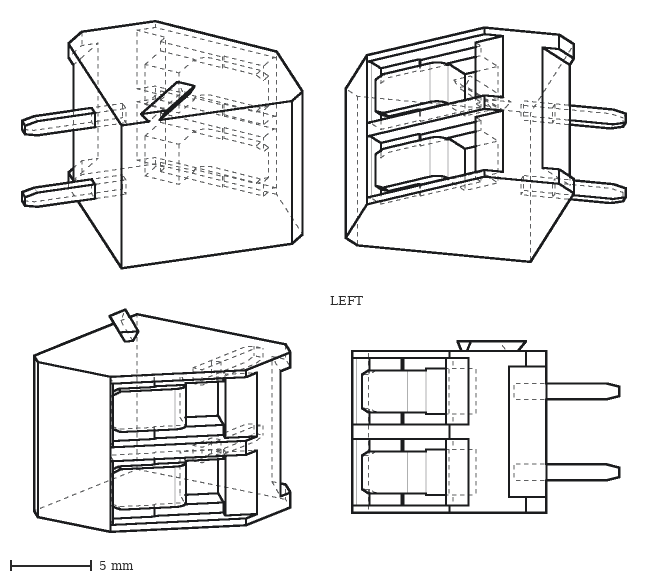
import cadquery as cq
import math


length_x = 12.5
depth_y = 12.0
pitch = 5.0
pole_count = 2
height_z = pole_count * pitch
pole_levels = [(index + 0.5) * pitch for index in range(pole_count)]
slant_leg = 6.0
front_chamfer = 1.25
back_chamfer = 1.0
recess_leg = 2.3
recess_margin = 0.97

rib_height = 0.6
rib_top_width = 1.2
rib_bottom_width = 0.5
rib_end_x = 9.52
rib_end_y = 5.08

slant_length = slant_leg * math.sqrt(2)
entry_width = 4.1
entry_lip_radius = 0.2
entry_top = slant_length - entry_lip_radius
sill_depth = 0.84
sill_end = 1.15
lower_floor_depth = 1.48
upper_floor_depth = 1.33
floor_step = 5.5
wire_hole_width = 2.8
wire_hole_top = 3.53
wire_hole_depth = 3.5

button_width = 2.6
button_face_depth = 0.68
button_nose_radius = lower_floor_depth - button_face_depth
corner_cut_along = 0.55
corner_cut_width = 0.25

pin_x = 6.5
pin_width = 0.7
pin_height = 1.0
pin_reach = 4.5
pin_embed = 2.0
pin_tip_length = 0.8
pin_tip_height = 0.6


def entry_plane(z):
    """Local x runs up the slanted face and local y points out of it."""
    return cq.Workplane(cq.Plane(origin=(0, depth_y - slant_leg, z), xDir=(1, 1, 0), normal=(0, 0, 1)))


def make_block():
    outline = [
        (front_chamfer, 0),
        (length_x, 0),
        (length_x, depth_y - back_chamfer),
        (length_x - back_chamfer, depth_y),
        (slant_leg, depth_y),
        (0, depth_y - slant_leg),
        (0, front_chamfer),
    ]
    block = cq.Workplane("XY").polyline(outline).close().extrude(height_z)
    recess = (
        cq.Workplane("XY", origin=(0, 0, recess_margin))
        .polyline([(0, 0), (recess_leg, 0), (0, recess_leg)])
        .close()
        .extrude(height_z - 2 * recess_margin)
    )
    return block.cut(recess)


def make_rib():
    """Dovetail running at 45 degrees from its square end to the right side of the housing."""
    section = [
        (-rib_bottom_width / 2, 0),
        (rib_bottom_width / 2, 0),
        (rib_top_width / 2, rib_height),
        (-rib_top_width / 2, rib_height),
    ]
    overrun = (length_x - rib_end_x) * math.sqrt(2) + rib_top_width
    end_plane = cq.Plane(origin=(rib_end_x, rib_end_y, height_z), xDir=(1, 1, 0), normal=(1, -1, 0))
    bar = cq.Workplane(end_plane).polyline(section).close().extrude(overrun)
    trim_block = cq.Workplane("XY", origin=(0, 0, height_z)).rect(2 * length_x, 2 * depth_y).extrude(rib_height)
    return bar.intersect(trim_block)


def make_entry_opening(z):
    """Stepped opening with a shallow sill on the left side and a rounded lip at the far end."""
    arc_offset = entry_lip_radius * math.sqrt(0.5)
    arc_middle = (slant_length - arc_offset, arc_offset - entry_lip_radius)
    return (
        entry_plane(z)
        .moveTo(-sill_depth, 0)
        .lineTo(-sill_depth, -sill_depth)
        .lineTo(sill_end, -sill_depth)
        .lineTo(sill_end, -lower_floor_depth)
        .lineTo(floor_step, -lower_floor_depth)
        .lineTo(floor_step, -upper_floor_depth)
        .lineTo(entry_top, -upper_floor_depth)
        .lineTo(entry_top, -entry_lip_radius)
        .threePointArc(arc_middle, (slant_length, 0))
        .close()
        .extrude(entry_width / 2, both=True)
    )


def make_wire_hole(z):
    return (
        entry_plane(z)
        .moveTo(sill_end, -sill_depth)
        .lineTo(sill_end, -wire_hole_depth)
        .lineTo(wire_hole_top, -wire_hole_depth)
        .lineTo(wire_hole_top, -sill_depth)
        .close()
        .extrude(wire_hole_width / 2, both=True)
    )


def make_button(z):
    arc_offset = button_nose_radius * math.sqrt(0.5)
    nose_center_along = wire_hole_top + button_nose_radius
    button = (
        entry_plane(z)
        .moveTo(wire_hole_top, -lower_floor_depth)
        .threePointArc(
            (nose_center_along - arc_offset, arc_offset - lower_floor_depth),
            (nose_center_along, -button_face_depth),
        )
        .lineTo(entry_top, -button_face_depth)
        .lineTo(entry_top, -lower_floor_depth)
        .close()
        .extrude(button_width / 2, both=True)
    )
    for side in (-1, 1):
        edge = side * button_width / 2
        corner_plane = cq.Plane(origin=(0, depth_y - slant_leg, z), xDir=(1, 1, 0), normal=(-1, 1, 0))
        corner = (
            cq.Workplane(corner_plane)
            .polyline([
                (entry_top - corner_cut_along, edge),
                (entry_top, edge),
                (entry_top, edge - side * corner_cut_width),
            ])
            .close()
            .extrude(-lower_floor_depth)
        )
        button = button.cut(corner)
    return button


def make_pin(z):
    shoulder_y = pin_tip_length - pin_reach
    upper_edge = [(pin_embed, pin_height / 2), (shoulder_y, pin_height / 2), (-pin_reach, pin_tip_height / 2)]
    lower_edge = [(y, -half_height) for y, half_height in reversed(upper_edge)]
    return (
        cq.Workplane("YZ", origin=(pin_x, 0, z))
        .polyline(upper_edge + lower_edge)
        .close()
        .extrude(pin_width / 2, both=True)
    )


pins = [make_pin(level) for level in pole_levels]

housing = make_block().union(make_rib())
for level, pin in zip(pole_levels, pins):
    opening = make_entry_opening(level).union(make_wire_hole(level)).cut(make_button(level))
    housing = housing.cut(opening).cut(pin)

result = cq.Compound.makeCompound([housing.val(), *[pin.val() for pin in pins]])